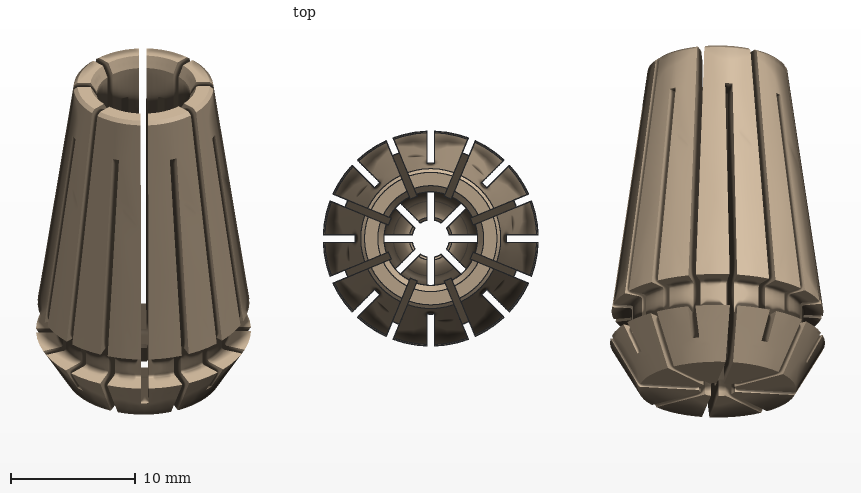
import cadquery as cq
import math

length = 27.5
groove_bottom = 4.0
groove_top = 6.7

nose_radius = 8.625
nose_half_angle = 30.0
groove_radius = 6.9
groove_fillet = 0.2
taper_radius = 8.5
taper_half_angle = 8.0
rim_chamfer_height = 0.25
rim_chamfer_width = 0.3

bore_radius = 3.75
bore_floor = 1.5
bore_fillet = 0.75
mouth_chamfer_width = 0.5
mouth_half_angle = 30.0
nose_hole_radius = 1.5
nose_hole_chamfer = 0.22

slot_width = 0.6
slots_per_end = 8
nose_slot_top = 24.0
rear_slot_floor = 1.75
blade_overhang = 1.0

half_quarter = math.sqrt(0.5)


def revolve_profile(sketch):
    """Turn a closed radius-height outline about the Z axis."""
    return sketch.close().revolve(360, (0, 0, 0), (0, 1, 0))


def make_outside():
    """Nose cone, groove with filleted corners, long taper and chamfered rim."""
    nose_face_radius = nose_radius - groove_bottom * math.tan(math.radians(nose_half_angle))
    rim_height = length - rim_chamfer_height
    taper_length = rim_height - groove_top
    rim_radius = taper_radius - taper_length * math.tan(math.radians(taper_half_angle))
    fillet_radius = groove_radius + groove_fillet
    fillet_mid = fillet_radius - groove_fillet * half_quarter
    fillet_mid_rise = groove_fillet * (1 - half_quarter)
    outline = (
        cq.Workplane("XZ")
        .lineTo(nose_face_radius, 0)
        .lineTo(nose_radius, groove_bottom)
        .lineTo(fillet_radius, groove_bottom)
        .threePointArc(
            (fillet_mid, groove_bottom + fillet_mid_rise),
            (groove_radius, groove_bottom + groove_fillet),
        )
        .lineTo(groove_radius, groove_top - groove_fillet)
        .threePointArc(
            (fillet_mid, groove_top - fillet_mid_rise),
            (fillet_radius, groove_top),
        )
        .lineTo(taper_radius, groove_top)
        .lineTo(rim_radius, rim_height)
        .lineTo(rim_radius - rim_chamfer_width, length)
        .lineTo(0, length)
    )
    return revolve_profile(outline)


def make_bore():
    """Nose hole with a chamfered inner end, and a wide bore with a filleted floor."""
    mouth_depth = mouth_chamfer_width / math.tan(math.radians(mouth_half_angle))
    fillet_start = bore_radius - bore_fillet
    fillet_mid_radius = fillet_start + bore_fillet * half_quarter
    fillet_mid_height = bore_floor + bore_fillet * (1 - half_quarter)
    outline = (
        cq.Workplane("XZ")
        .lineTo(nose_hole_radius, 0)
        .lineTo(nose_hole_radius, bore_floor - nose_hole_chamfer)
        .lineTo(nose_hole_radius + nose_hole_chamfer, bore_floor)
        .lineTo(fillet_start, bore_floor)
        .threePointArc(
            (fillet_mid_radius, fillet_mid_height),
            (bore_radius, bore_floor + bore_fillet),
        )
        .lineTo(bore_radius, length - mouth_depth)
        .lineTo(bore_radius + mouth_chamfer_width, length)
        .lineTo(0, length)
    )
    return revolve_profile(outline)


def cut_slots(body, bottom, top, first_angle):
    """Cut a ring of radial slots; each cut spans the diameter and makes two slots."""
    span = 2 * (nose_radius + blade_overhang)
    pitch = 360 / slots_per_end
    for index in range(slots_per_end // 2):
        blade = (
            cq.Workplane("XY", origin=(0, 0, bottom))
            .rect(span, slot_width)
            .extrude(top - bottom)
            .rotate((0, 0, 0), (0, 0, 1), first_angle + index * pitch)
        )
        body = body.cut(blade)
    return body


collet = make_outside().cut(make_bore())
collet = cut_slots(collet, 0, nose_slot_top, 0)
collet = cut_slots(collet, rear_slot_floor, length, 180 / slots_per_end)
result = collet